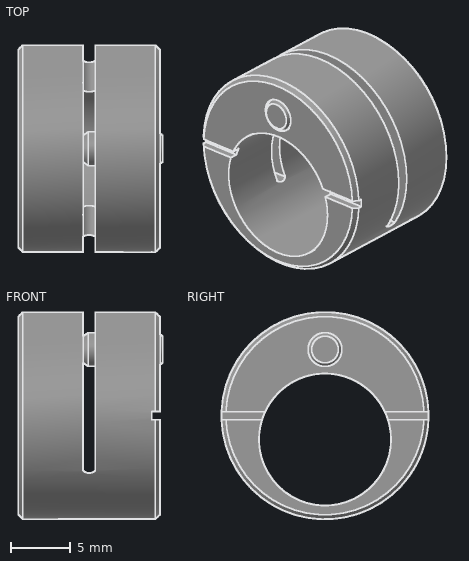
import cadquery as cq

collar_diameter = 17.46
collar_length = 11.95
collar_chamfer = 0.38
bore_diameter = 11.1
bore_drop = 2.0

slot_width = 1.01
slot_depth = 13.55
slot_end_radius = 0.77

notch_width = 0.68
notch_depth = 0.7

screw_diameter = 2.85
screw_height = 5.57
screw_protrusion = 0.23
screw_tip_length = 0.42
screw_tip_inset = 0.3

collar_radius = collar_diameter / 2
screw_radius = screw_diameter / 2
slot_left = (collar_length - slot_width) / 2
slot_right = slot_left + slot_width
slot_bottom = collar_radius - slot_depth
screw_end = collar_length + screw_protrusion


def x_cylinder(start, end, diameter, height):
    """Cylinder along X between two stations, with its axis at a given Z."""
    return (
        cq.Workplane("YZ", origin=(start, 0, height))
        .circle(diameter / 2)
        .extrude(end - start)
    )


def make_slot():
    """Upright slot through the whole collar in Y, with a rounded floor."""
    half_width = slot_width / 2
    floor_rise = slot_end_radius - (slot_end_radius**2 - half_width**2) ** 0.5
    wall_bottom = slot_bottom + floor_rise
    return (
        cq.Workplane("XZ")
        .moveTo(slot_left, collar_radius)
        .lineTo(slot_left, wall_bottom)
        .threePointArc((slot_left + half_width, slot_bottom), (slot_right, wall_bottom))
        .lineTo(slot_right, collar_radius)
        .close()
        .extrude(collar_radius, both=True)
    )


def make_notch():
    """Square notch across the full width of the right face."""
    return cq.Workplane("XY").box(notch_depth, collar_diameter, notch_width).translate(
        (collar_length - notch_depth / 2, 0, 0)
    )


def make_collar():
    body = x_cylinder(0, collar_length, collar_diameter, 0)
    body = body.faces("<X or >X").chamfer(collar_chamfer)
    body = body.cut(x_cylinder(0, collar_length, bore_diameter, -bore_drop))
    body = body.cut(make_slot())
    body = body.cut(make_notch())
    return body.cut(x_cylinder(slot_right, collar_length, screw_diameter, screw_height))


def make_screw():
    """Plain cylindrical screw with a bevel on both ends."""
    tip_radius = screw_radius - screw_tip_inset
    return (
        cq.Workplane("XZ", origin=(0, 0, screw_height))
        .moveTo(slot_left, 0)
        .lineTo(slot_left, tip_radius)
        .lineTo(slot_left + screw_tip_length, screw_radius)
        .lineTo(screw_end - screw_tip_length, screw_radius)
        .lineTo(screw_end, tip_radius)
        .lineTo(screw_end, 0)
        .close()
        .revolve(360, (0, 0, 0), (1, 0, 0))
    )


collar = make_collar()
screw = make_screw()
result = cq.Compound.makeCompound([collar.val(), screw.val()])